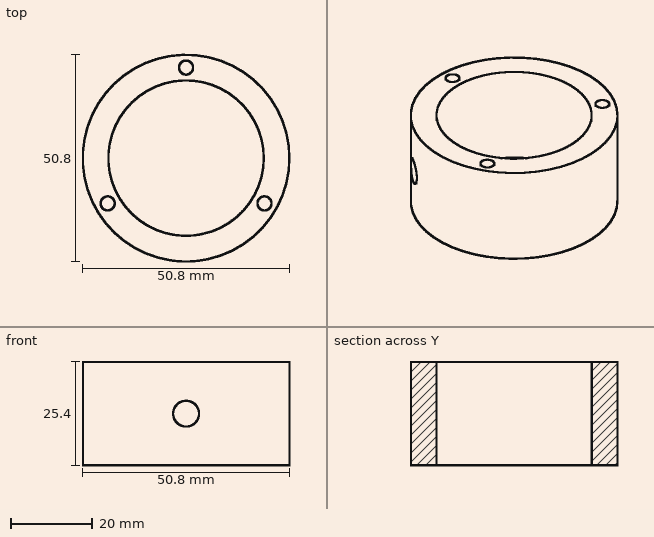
import cadquery as cq

outer_diameter = 50.8
bore_diameter = 38.1
height = 25.4

axial_hole_diameter = 3.4
axial_hole_count = 3
first_hole_angle = 90.0
hole_circle_radius = (outer_diameter + bore_diameter) / 4

radial_hole_diameter = 6.35


def make_ring():
    return cq.Workplane("XY").circle(outer_diameter / 2).circle(bore_diameter / 2).extrude(height)


def make_axial_holes():
    return (
        cq.Workplane("XY")
        .polarArray(hole_circle_radius, first_hole_angle, 360, axial_hole_count)
        .circle(axial_hole_diameter / 2)
        .extrude(height)
    )


def make_radial_hole():
    return (
        cq.Workplane("XZ")
        .center(0, height / 2)
        .circle(radial_hole_diameter / 2)
        .extrude(outer_diameter / 2)
    )


result = make_ring().cut(make_axial_holes()).cut(make_radial_hole())